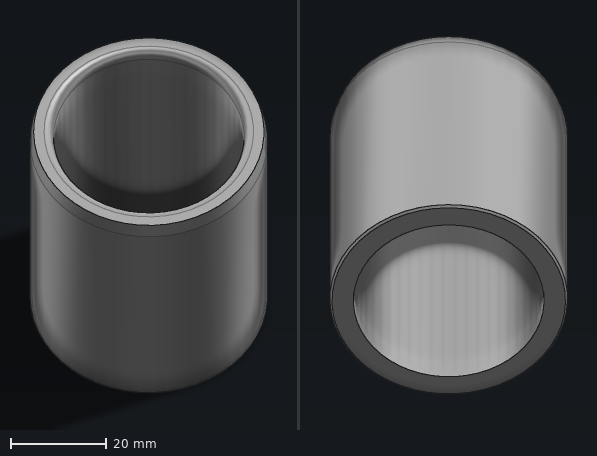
import cadquery as cq
import math

length = 60.0
outer_diameter = 50.0
bore_diameter = 40.0

lead_in_length = 3.0
lead_in_angle = 15.0
bottom_chamfer = 0.5
bore_mouth_radius = 2.0

outer_radius = outer_diameter / 2
bore_radius = bore_diameter / 2
top_radius = outer_radius - lead_in_length * math.tan(math.radians(lead_in_angle))


def bushing_body():
    """Solid of revolution with a tapered lead-in on top and a small bottom chamfer."""
    half_section = (
        cq.Workplane("XZ")
        .moveTo(bore_radius, 0)
        .lineTo(outer_radius - bottom_chamfer, 0)
        .lineTo(outer_radius, bottom_chamfer)
        .lineTo(outer_radius, length - lead_in_length)
        .lineTo(top_radius, length)
        .lineTo(bore_radius, length)
        .close()
    )
    return half_section.revolve(360, (0, 0, 0), (0, 1, 0))


def round_bore_mouth(body):
    """Round the inner edge of the top face."""
    bore_edge = body.faces(">Z").edges(cq.selectors.RadiusNthSelector(0))
    return bore_edge.fillet(bore_mouth_radius)


result = round_bore_mouth(bushing_body())